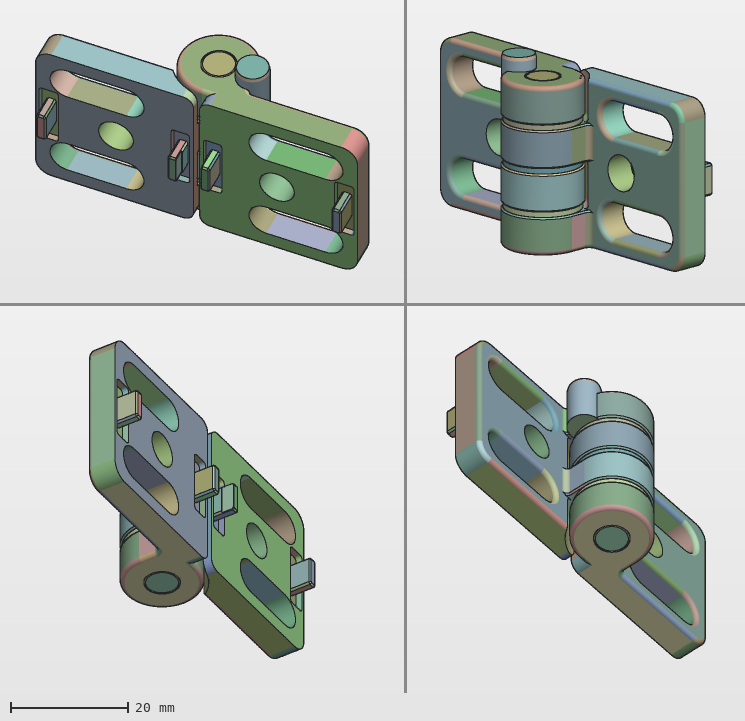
import cadquery as cq
import math


hinge_length = 60.0
leaf_height = 30.0
plate_thickness = 5.5
leaf_gap = 1.15
outer_corner_radius = 3.0
inner_corner_radius = 2.0
back_edge_radius = 0.8
leaf_end = hinge_length / 2
half_height = leaf_height / 2

slot_length = 17.5
slot_width = 6.5
slot_x = 18.55
slot_z = 9.05
hole_diameter = 6.5
hole_x = 15.0

axis_y = 9.6
knuckle_radius = 7.2
knuckle_count = 4
washer_thickness = 0.95
washer_radius = 6.85
knuckle_height = (leaf_height - (knuckle_count - 1) * washer_thickness) / knuckle_count
knuckle_pitch = knuckle_height + washer_thickness
knuckle_chamfer = 0.3
root_fillet = 0.9
clearance_radius = 8.0
clearance_floor_fillet = 0.7
pin_radius = 3.1
pin_chamfer = 0.3

button_x = 6.55
button_y = 9.0
button_radius = 3.0
button_rise = 2.6
button_lead = 0.7
button_taper = 0.2

tab_outer_x = 27.55
tab_inner_x = 3.0
tab_width = 1.8
tab_height = 5.7
tab_reach = 3.4
tab_corner_chamfer = 0.35
tab_tip_chamfer = 0.3
relief_depth = 0.25
relief_start = 1.1
pocket_height = 12.0
pocket_outer_width = 3.6
pocket_inner_width = 3.4
pocket_depth = 1.2
pocket_corner_radius = 0.6


def knuckle_bottom(index):
    """Lower z of a knuckle, counted from the bottom of the hinge."""
    return -half_height + index * knuckle_pitch


def axis_cylinder(radius, z_bottom, z_top):
    """Solid cylinder about the hinge axis."""
    return (
        cq.Workplane("XY", origin=(0, axis_y, z_bottom))
        .circle(radius)
        .extrude(z_top - z_bottom)
    )


def nearest(x, y, z):
    """Selector for the edge whose middle lies closest to a point."""
    return cq.selectors.NearestToPointSelector((x, y, z))


def plate():
    """Left plate with rounded corners."""
    body = cq.Workplane("XY").box(
        leaf_end - leaf_gap / 2, plate_thickness, leaf_height, centered=(False, False, True)
    ).translate((-leaf_end, 0, 0))
    body = body.edges("|Y and <X").fillet(outer_corner_radius)
    return body.edges("|Y and >X").fillet(inner_corner_radius)


def knuckle(index):
    """Round knuckle whose flat side flares into the back of the plate; its inner ends are beveled."""
    diagonal = knuckle_radius * math.sqrt(0.5)
    back = plate_thickness - axis_y
    flare_end = -knuckle_radius - root_fillet
    body = (
        cq.Workplane("XY", origin=(0, axis_y, knuckle_bottom(index)))
        .moveTo(0, -knuckle_radius)
        .threePointArc((diagonal, diagonal), (-knuckle_radius, 0))
        .lineTo(-knuckle_radius, back + root_fillet)
        .radiusArc((flare_end, back), root_fillet)
        .lineTo(flare_end, -knuckle_radius)
        .close()
        .extrude(knuckle_height)
    )
    inner_ends = ">Z" if index == 0 else "<Z or >Z"
    return body.faces(inner_ends).edges().chamfer(knuckle_chamfer)


def round_back_edges(leaf):
    """Round the back rim; one point per end starts the whole tangent chain."""
    top_edge = nearest(-hole_x, plate_thickness, half_height)
    bottom_edge = nearest(-hole_x, plate_thickness, -half_height)
    return leaf.edges(top_edge + bottom_edge).fillet(back_edge_radius)


def knuckle_clearance(index):
    """Cylinder with rounded rims that frees the space of a knuckle of the other leaf."""
    z_bottom = knuckle_bottom(index) - washer_thickness
    z_top = knuckle_bottom(index + 1)
    if index == knuckle_count - 1:
        z_top += clearance_floor_fillet
    return axis_cylinder(clearance_radius, z_bottom, z_top).edges().fillet(clearance_floor_fillet)


def slots():
    """Two long mounting slots through the left plate."""
    return (
        cq.Workplane("XZ")
        .pushPoints([(-slot_x, slot_z), (-slot_x, -slot_z)])
        .slot2D(slot_length, slot_width)
        .extrude(-plate_thickness)
    )


def mounting_hole():
    """Round mounting hole in the middle of the left plate."""
    return (
        cq.Workplane("XZ", origin=(-hole_x, 0, 0))
        .circle(hole_diameter / 2)
        .extrude(-plate_thickness)
    )


def pocket(center_x, width):
    """Shallow pocket in the mounting face around a tab."""
    return (
        cq.Workplane("XZ", origin=(center_x, 0, 0))
        .rect(width, pocket_height)
        .extrude(-pocket_depth)
        .edges("|Y")
        .fillet(pocket_corner_radius)
    )


def tab(center_x):
    """Alignment tab that rises from its pocket floor past the mounting face."""
    return (
        cq.Workplane("XZ", origin=(center_x, pocket_depth, 0))
        .rect(tab_width, tab_height)
        .extrude(pocket_depth + tab_reach)
        .edges("|Y")
        .chamfer(tab_corner_chamfer)
        .faces("<Y")
        .chamfer(tab_tip_chamfer)
    )


def inner_tab_relief():
    """Thin slice taken off the hinge side of the inner tab's tip."""
    return cq.Workplane("XY").box(
        relief_depth, tab_reach - relief_start, tab_height, centered=(False, False, True)
    ).translate((-tab_inner_x + tab_width / 2 - relief_depth, -tab_reach, 0))


def plate_with_slots():
    """Left plate with its slots, whose rims are rounded on the back face."""
    body = plate().cut(slots())
    slot_rims = body.faces(">Y").val().innerWires()
    rim_edges = [edge for rim in slot_rims for edge in rim.Edges()]
    return body.newObject(rim_edges).fillet(back_edge_radius)


def left_leaf():
    """Leaf on the -X side, which carries the first and third knuckle from the bottom."""
    leaf = plate_with_slots().union(knuckle(0)).union(knuckle(2))
    leaf = round_back_edges(leaf)
    leaf = leaf.cut(knuckle_clearance(1)).cut(knuckle_clearance(3))
    leaf = leaf.cut(mounting_hole())
    leaf = leaf.cut(pocket(-tab_outer_x, pocket_outer_width)).union(tab(-tab_outer_x))
    leaf = leaf.cut(pocket(-tab_inner_x, pocket_inner_width))
    leaf = leaf.union(tab(-tab_inner_x).cut(inner_tab_relief()))
    return leaf.cut(axis_cylinder(pin_radius, -half_height, half_height))


def stop_button():
    """Upright pin with a slightly tapered head."""
    seat_z = half_height - knuckle_height
    shaft_top = half_height + button_rise - button_lead
    shaft = (
        cq.Workplane("XY", origin=(button_x, button_y, seat_z))
        .circle(button_radius)
        .extrude(shaft_top - seat_z)
    )
    return (
        shaft.faces(">Z")
        .workplane()
        .circle(button_radius)
        .workplane(offset=button_lead)
        .circle(button_radius - button_taper)
        .loft()
    )


def washer(index):
    """Ring that fills the gap above a knuckle."""
    z_bottom = knuckle_bottom(index) + knuckle_height
    z_top = z_bottom + washer_thickness
    return axis_cylinder(washer_radius, z_bottom, z_top).cut(axis_cylinder(pin_radius, z_bottom, z_top))


def hinge_pin():
    """Pin through all knuckles, flush with both ends of the hinge and beveled there."""
    return axis_cylinder(pin_radius, -half_height, half_height).faces("<Z or >Z").chamfer(pin_chamfer)


left = left_leaf()
button = stop_button()
pin = hinge_pin()
right = left.rotate((0, 0, 0), (0, 1, 0), 180).cut(button)
washers = [washer(index) for index in range(knuckle_count - 1)]

result = cq.Compound.makeCompound(
    [left.val(), right.val(), pin.val(), button.val(), *[ring.val() for ring in washers]]
)